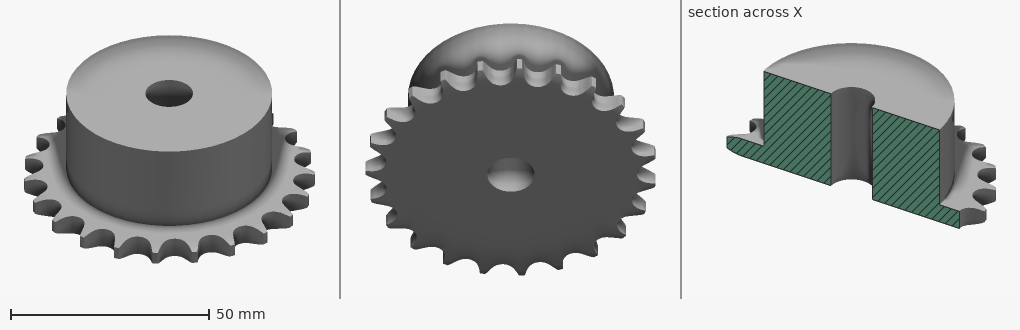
import cadquery as cq
import math

chain_pitch = 9.525
roller_diameter = 6.35
tooth_count = 23
tip_radius = 73.5 / 2

fit_clearance = 0.0381
seat_ratio = 0.5025
working_center_ratio = 0.8
working_ratio = seat_ratio + working_center_ratio
topping_center_ratio = 1.4
seat_half_angle = math.radians(55 - 60 / tooth_count)
working_sweep = math.radians(18 - 56 / tooth_count)
topping_angle = math.radians(17 - 64 / tooth_count)
seat_radius = seat_ratio * roller_diameter + fit_clearance
working_radius = working_ratio * roller_diameter + fit_clearance
straight_length = roller_diameter * (
    topping_center_ratio * math.sin(topping_angle) - working_center_ratio * math.sin(working_sweep)
)
topping_radius = roller_diameter * (
    working_center_ratio * math.cos(working_sweep)
    + topping_center_ratio * math.cos(topping_angle)
    - working_ratio
) - fit_clearance
topping_sweep = math.radians(20)

tooth_width = 5.3
total_height = 28.0
hub_diameter = 52.0
bore_diameter = 12.0

side_relief = 1.0
side_radius = 10.0

pitch_radius = chain_pitch / (2 * math.sin(math.pi / tooth_count))
root_radius = pitch_radius - seat_radius


def rounded_disc():
    """Tooth blank: a disc whose rim curves in from both faces towards the tip."""
    relief_depth = math.sqrt(side_radius ** 2 - (side_radius - side_relief) ** 2)
    face_radius = tip_radius - relief_depth
    half_angle = math.acos((side_radius - side_relief) / side_radius) / 2
    mid_radius = face_radius + side_radius * math.sin(half_angle)
    mid_drop = side_radius * (1 - math.cos(half_angle))
    profile = (
        cq.Workplane("XZ")
        .lineTo(face_radius, 0)
        .threePointArc((mid_radius, mid_drop), (tip_radius, side_relief))
        .lineTo(tip_radius, tooth_width - side_relief)
        .threePointArc((mid_radius, tooth_width - mid_drop), (face_radius, tooth_width))
        .lineTo(0, tooth_width)
        .close()
    )
    return profile.revolve(360, (0, 0, 0), (0, 1, 0))


def arc_step(start, radius, start_angle, end_angle):
    """Move along an arc whose heading, measured from +X, turns between two angles."""
    return (
        start[0] + radius * abs(math.sin(end_angle) - math.sin(start_angle)),
        start[1] + radius * abs(math.cos(end_angle) - math.cos(start_angle)),
    )


def mirrored(point):
    return (-point[0], point[1])


def tooth_gap():
    """Cutter for the gap centred on +Y, reaching beyond the tooth tips."""
    root = (0, root_radius)
    flank_angle = seat_half_angle + working_sweep
    top_angle = flank_angle - topping_sweep

    seat_mid = arc_step(root, seat_radius, 0, seat_half_angle / 2)
    seat_end = arc_step(root, seat_radius, 0, seat_half_angle)
    working_mid = arc_step(seat_end, working_radius, seat_half_angle, flank_angle - working_sweep / 2)
    working_end = arc_step(seat_end, working_radius, seat_half_angle, flank_angle)
    straight_end = (
        working_end[0] + straight_length * math.cos(flank_angle),
        working_end[1] + straight_length * math.sin(flank_angle),
    )
    topping_mid = arc_step(straight_end, topping_radius, flank_angle, flank_angle - topping_sweep / 2)
    topping_end = arc_step(straight_end, topping_radius, flank_angle, top_angle)

    return (
        cq.Workplane("XY")
        .moveTo(*root)
        .threePointArc(seat_mid, seat_end)
        .threePointArc(working_mid, working_end)
        .lineTo(*straight_end)
        .threePointArc(topping_mid, topping_end)
        .lineTo(*mirrored(topping_end))
        .threePointArc(mirrored(topping_mid), mirrored(straight_end))
        .lineTo(*mirrored(working_end))
        .threePointArc(mirrored(working_mid), mirrored(seat_end))
        .threePointArc(mirrored(seat_mid), root)
        .close()
        .extrude(tooth_width)
    )


def sprocket():
    body = rounded_disc()
    gap = tooth_gap()
    for index in range(tooth_count):
        body = body.cut(gap.rotate((0, 0, 0), (0, 0, 1), index * 360 / tooth_count))
    hub = cq.Workplane("XY").circle(hub_diameter / 2).extrude(total_height)
    bore = cq.Workplane("XY").circle(bore_diameter / 2).extrude(total_height)
    return body.union(hub).cut(bore)


result = sprocket()